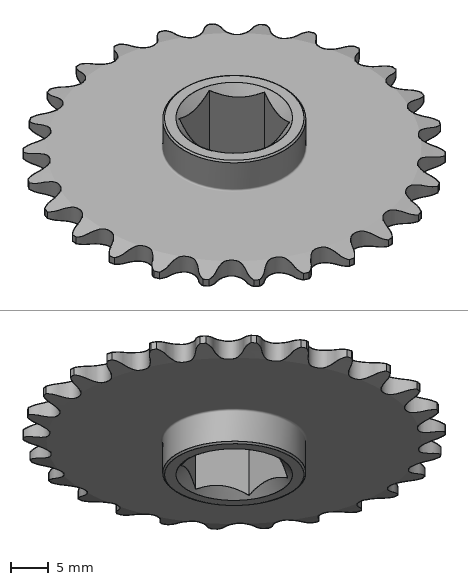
import cadquery as cq
import math

TEETH = 26
PITCH = 6.35
ROLLER_DIAMETER = 3.302
ROLLER_CLEARANCE = 0.0381
OUTSIDE_DIAMETER = 56.19

PLATE_THICKNESS = 2.667
BEVEL_START_RADIUS = 24.92
TIP_THICKNESS = 1.1
BEVEL_OVERRUN = 1.0

HUB_DIAMETER = 19.05
HUB_LENGTH = 12.57
HUB_RIM_CHAMFER = 0.25
HUB_BASE_FILLET = 0.254

HEX_ACROSS_FLATS = 12.7
BORE_MOUTH_DIAMETER = 15.5

HALF_TOOTH = math.pi / TEETH
PITCH_RADIUS = PITCH / 2 / math.sin(HALF_TOOTH)
OUTSIDE_RADIUS = OUTSIDE_DIAMETER / 2
HEX_ACROSS_CORNERS = HEX_ACROSS_FLATS / math.cos(math.radians(30))


def polar(center, radius, angle):
    """Point at the given radius and angle (radians) from a center."""
    return (center[0] + radius * math.cos(angle), center[1] + radius * math.sin(angle))


def half_space_points():
    """ANSI tooth-space curve from its root to the tooth tip, on the +X side of a space on +Y."""
    seating_angle = math.radians(35 + 60 / TEETH)
    working_angle = math.radians(18 - 56 / TEETH)
    topping_angle = math.radians(17 - 64 / TEETH)
    seating_radius = 0.5025 * ROLLER_DIAMETER + ROLLER_CLEARANCE
    working_offset = 0.8 * ROLLER_DIAMETER
    topping_offset = 1.4 * ROLLER_DIAMETER
    working_radius = seating_radius + working_offset
    topping_radius = (
        working_offset * math.cos(working_angle)
        + topping_offset * math.cos(topping_angle)
        - working_radius
    )

    roller_center = (0, PITCH_RADIUS)
    working_center = polar(roller_center, working_offset, math.pi - seating_angle)
    topping_center = polar(roller_center, topping_offset, -HALF_TOOTH)

    root = polar(roller_center, seating_radius, -math.pi / 2)
    seating_middle = polar(roller_center, seating_radius, -(math.pi / 2 + seating_angle) / 2)
    seating_end = polar(roller_center, seating_radius, -seating_angle)

    working_end_angle = working_angle - seating_angle
    working_middle = polar(working_center, working_radius, working_angle / 2 - seating_angle)
    working_end = polar(working_center, working_radius, working_end_angle)

    center_distance = math.hypot(*topping_center)
    tip_cosine = (center_distance**2 + topping_radius**2 - OUTSIDE_RADIUS**2) / (
        2 * center_distance * topping_radius
    )
    angle_to_axis = math.atan2(-topping_center[1], -topping_center[0])
    topping_start_angle = working_end_angle - math.pi
    topping_end_angle = angle_to_axis - math.acos(tip_cosine)
    topping_middle_angle = (topping_start_angle + topping_end_angle) / 2
    topping_start = polar(topping_center, topping_radius, topping_start_angle)
    topping_middle = polar(topping_center, topping_radius, topping_middle_angle)
    tip = polar(topping_center, topping_radius, topping_end_angle)
    return [
        root,
        seating_middle,
        seating_end,
        working_middle,
        working_end,
        topping_start,
        topping_middle,
        tip,
    ]


def rotate(point, angle):
    """Point turned about the part axis by an angle in radians."""
    x, y = point
    return (
        x * math.cos(angle) - y * math.sin(angle),
        x * math.sin(angle) + y * math.cos(angle),
    )


def draw_half_space(outline, points):
    """Continue an outline from root to tip through points ordered as in half_space_points."""
    _, seating_middle, seating_end, working_middle, working_end, topping_start, topping_middle, tip = points
    outline = outline.threePointArc(seating_middle, seating_end)
    outline = outline.threePointArc(working_middle, working_end)
    outline = outline.lineTo(*topping_start)
    return outline.threePointArc(topping_middle, tip)


def draw_half_space_back(outline, points):
    """Continue an outline along the same kind of curve, from the tip down to the root."""
    root, seating_middle, seating_end, working_middle, working_end, topping_start, topping_middle, _ = points
    outline = outline.threePointArc(topping_middle, topping_start)
    outline = outline.lineTo(*working_end)
    outline = outline.threePointArc(working_middle, seating_end)
    return outline.threePointArc(seating_middle, root)


def toothed_blank():
    """Plate of full thickness with the complete tooth outline; one tooth is centered on +Y."""
    left_flank = half_space_points()
    right_flank = [(-x, y) for x, y in left_flank]
    outline = cq.Workplane("XY", origin=(0, 0, -PLATE_THICKNESS / 2))
    outline = outline.moveTo(*rotate(left_flank[0], HALF_TOOTH))
    for tooth in range(TEETH):
        tooth_turn = -2 * HALF_TOOTH * tooth
        up = [rotate(point, tooth_turn + HALF_TOOTH) for point in left_flank]
        down = [rotate(point, tooth_turn - HALF_TOOTH) for point in right_flank]
        outline = draw_half_space(outline, up)
        outline = outline.threePointArc(rotate((0, OUTSIDE_RADIUS), tooth_turn), down[-1])
        outline = draw_half_space_back(outline, down)
    return outline.close().extrude(PLATE_THICKNESS)


def bevel_envelope():
    """Disc with both faces sloped toward the tooth tips."""
    half_plate = PLATE_THICKNESS / 2
    half_tip = TIP_THICKNESS / 2
    slope = (half_plate - half_tip) / (OUTSIDE_RADIUS - BEVEL_START_RADIUS)
    half_rim = half_tip - slope * BEVEL_OVERRUN
    rim_radius = OUTSIDE_RADIUS + BEVEL_OVERRUN
    section = [
        (0, -half_plate),
        (BEVEL_START_RADIUS, -half_plate),
        (rim_radius, -half_rim),
        (rim_radius, half_rim),
        (BEVEL_START_RADIUS, half_plate),
        (0, half_plate),
    ]
    return cq.Workplane("XZ").polyline(section).close().revolve(360, (0, 0), (0, 1))


def hub():
    """Plain cylinder with chamfered rims, centered on the plate."""
    cylinder = cq.Workplane("XY").circle(HUB_DIAMETER / 2).extrude(HUB_LENGTH / 2, both=True)
    return cylinder.faces("<Z or >Z").chamfer(HUB_RIM_CHAMFER)


def hub_base_fillet(side):
    """Concave round where the hub meets the plate; side is +1 for top and -1 for bottom."""
    half_plate = PLATE_THICKNESS / 2
    hub_radius = HUB_DIAMETER / 2
    fillet_center = (
        hub_radius + HUB_BASE_FILLET,
        half_plate + HUB_BASE_FILLET,
    )
    arc_middle = polar(fillet_center, HUB_BASE_FILLET, math.radians(225))
    section = cq.Workplane("XZ").moveTo(0, side * half_plate)
    section = section.lineTo(fillet_center[0], side * half_plate)
    section = section.threePointArc(
        (arc_middle[0], side * arc_middle[1]),
        (hub_radius, side * fillet_center[1]),
    )
    section = section.lineTo(0, side * fillet_center[1])
    return section.close().revolve(360, (0, 0), (0, 1))


def hex_bore():
    """Hexagonal through hole."""
    return cq.Workplane("XY").polygon(6, HEX_ACROSS_CORNERS).extrude(HUB_LENGTH / 2, both=True)


def bore_countersink(side):
    """45 degree cone at one bore mouth; side is +1 for top and -1 for bottom."""
    mouth_radius = BORE_MOUTH_DIAMETER / 2
    face = side * HUB_LENGTH / 2
    section = [(0, face), (mouth_radius, face), (0, face - side * mouth_radius)]
    return cq.Workplane("XZ").polyline(section).close().revolve(360, (0, 0), (0, 1))


result = toothed_blank().intersect(bevel_envelope()).union(hub())
for end in (1, -1):
    result = result.union(hub_base_fillet(end))
result = result.cut(hex_bore())
for end in (1, -1):
    result = result.cut(bore_countersink(end))